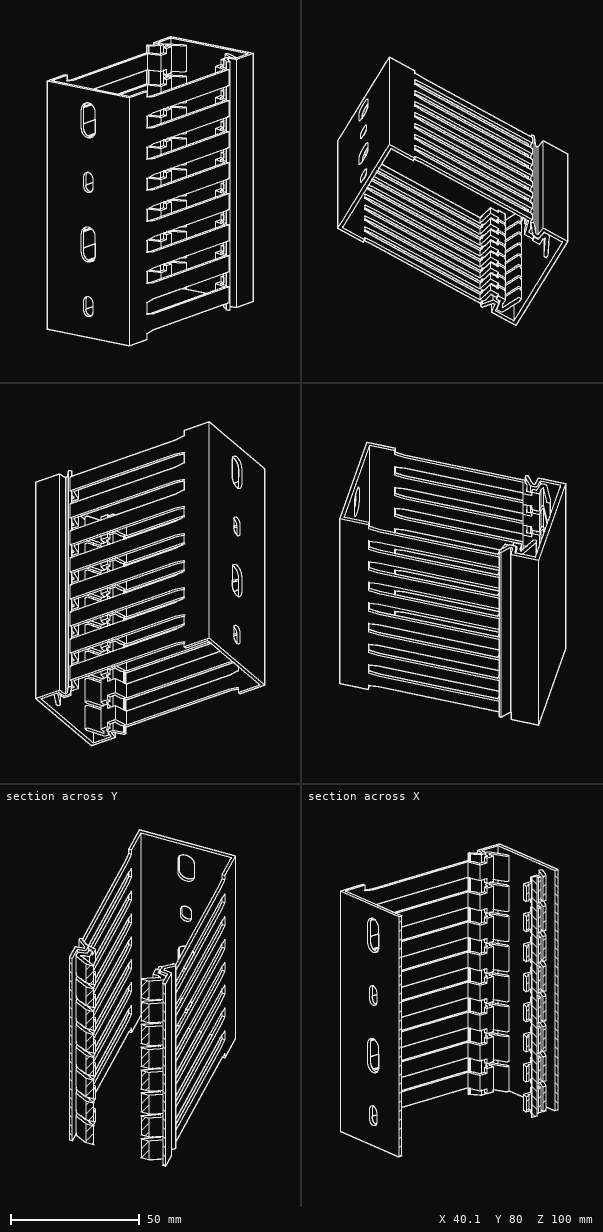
import cadquery as cq

length = 100.0
height = 80.0

duct_half_width = 20.0
duct_wall = 1.2
base_thickness = 1.5

finger_count = 8
finger_pitch = length / finger_count
slot_width = 6.0
slot_tip_width = 2.0
slot_tip_y = 68.1
slot_root_width = 4.7
slot_root_y = 11.5
slot_taper_length = 4.0

hole_pitch = 25.0
long_hole_length = 14.0
long_hole_width = 6.8
short_hole_length = 8.0
short_hole_width = 4.5

hook_thickness = 1.55
hook_inner_x = 13.2
hook_outer_x = 18.4
hook_floor_y = 64.6
hook_floor_rise = 1.5
hook_pocket_y = 65.65
hook_shelf_y = 71.3
hook_shelf_x = 15.4
hook_ceiling_rise = 0.7
hook_notch_x = 16.6
hook_notch_y = 71.9
lip_tip_x = 9.75
lip_tip_y = 76.4
lip_tip_height = 1.2
lip_tip_flat = 1.25
lip_root_y = 72.7
lip_root_radius = 1.0
lip_tip_radius = 0.5

lid_half_width = 20.05
lid_wall = 1.3
lid_top_thickness = 1.7
groove_depth = 3.4
groove_top_y = 68.95
groove_upper_drop = 0.45
groove_flat = 0.85
groove_crest_radius = 0.9
groove_bottom_y = 64.9
lid_edge_y = 63.95
lid_edge_radius = 0.5


def unit_normal(start, end):
    """Unit normal on the right of the direction from start to end."""
    run = end[0] - start[0]
    rise = end[1] - start[1]
    span = (run**2 + rise**2) ** 0.5
    return rise / span, -run / span


def offset_path(path, distance):
    """Points of the open path moved to its right with mitred corners."""
    normals = [unit_normal(a, b) for a, b in zip(path, path[1:])]
    befores = normals[:1] + normals
    afters = normals + normals[-1:]
    points = []
    for point, before, after in zip(path, befores, afters):
        share = distance / (1 + before[0] * after[0] + before[1] * after[1])
        x = point[0] + share * (before[0] + after[0])
        y = point[1] + share * (before[1] + after[1])
        points.append((x, y))
    return points


def round_corner(body, x, y, radius):
    """Fillet the edge of the body that runs along Z through (x, y)."""
    corner = cq.selectors.NearestToPointSelector((x, y, length / 2))
    return body.edges("|Z").edges(corner).fillet(radius)


def with_mirror(half):
    """Join a half body to its mirror image across x = 0."""
    return half.union(half.mirror("YZ")).clean()


def make_lid():
    groove_x = lid_half_width - groove_depth
    groove_upper_y = groove_top_y - groove_upper_drop
    outer = [
        (lid_half_width, height),
        (lid_half_width, groove_top_y),
        (groove_x, groove_upper_y),
        (groove_x, groove_upper_y - groove_flat),
        (lid_half_width, groove_bottom_y),
        (lid_half_width, lid_edge_y),
    ]
    inner = offset_path(outer, lid_wall)
    side = cq.Workplane("XY").polyline(outer + inner[::-1]).close().extrude(length)
    crest_x, crest_y = inner[2]
    side = round_corner(side, crest_x, crest_y, groove_crest_radius)
    side = round_corner(side, lid_half_width, lid_edge_y, lid_edge_radius)
    top = cq.Workplane("XY").box(lid_half_width, lid_top_thickness, length, centered=False)
    top = top.translate((0, height - lid_top_thickness, 0))
    return with_mirror(side.union(top))


def make_duct_side():
    """Half of the base, one side wall and its snap hook, before slotting."""
    wall_inner_x = duct_half_width - duct_wall
    hook_outer_column_x = hook_inner_x + hook_thickness
    hook_ceiling_y = hook_shelf_y - hook_thickness
    outline = [
        (0, 0),
        (duct_half_width, 0),
        (duct_half_width, hook_floor_y),
        (hook_outer_column_x, hook_pocket_y),
        (hook_outer_column_x, hook_ceiling_y),
        (hook_outer_x, hook_ceiling_y + hook_ceiling_rise),
        (hook_outer_x, lip_root_y),
        (lip_tip_x + lip_tip_flat, lip_tip_y),
        (lip_tip_x, lip_tip_y),
        (lip_tip_x, lip_tip_y - lip_tip_height),
        (hook_notch_x, hook_notch_y),
        (hook_shelf_x, hook_shelf_y),
        (hook_inner_x, hook_shelf_y),
        (hook_inner_x, hook_floor_y),
        (wall_inner_x, hook_floor_y - hook_floor_rise),
        (wall_inner_x, base_thickness),
        (0, base_thickness),
    ]
    side = cq.Workplane("XY").polyline(outline).close().extrude(length)
    side = round_corner(side, hook_outer_x, lip_root_y, lip_root_radius)
    return round_corner(side, lip_tip_x, lip_tip_y - lip_tip_height, lip_tip_radius)


def make_comb_slot(z):
    """Cutter for one slot through both side walls, narrow at its root and between the hooks."""
    taper_end_y = slot_root_y + slot_taper_length
    half_root = slot_root_width / 2
    half_slot = slot_width / 2
    half_tip = slot_tip_width / 2
    outline = [
        (slot_root_y, z - half_root),
        (taper_end_y, z - half_slot),
        (slot_tip_y, z - half_slot),
        (slot_tip_y, z - half_tip),
        (height, z - half_tip),
        (height, z + half_tip),
        (slot_tip_y, z + half_tip),
        (slot_tip_y, z + half_slot),
        (taper_end_y, z + half_slot),
        (slot_root_y, z + half_root),
    ]
    return cq.Workplane("YZ").polyline(outline).close().extrude(duct_half_width, both=True)


def make_mounting_hole(z, hole_length, hole_width):
    """Cutter for one obround hole through the base, long along Z."""
    hole = cq.Workplane("XZ").center(0, z).slot2D(hole_length, hole_width, 90)
    return hole.extrude(-base_thickness)


def make_duct(lid):
    duct = with_mirror(make_duct_side())
    for index in range(finger_count + 1):
        duct = duct.cut(make_comb_slot(index * finger_pitch))
    for index in range(int(length / hole_pitch)):
        z = (index + 0.5) * hole_pitch
        if index % 2 == 0:
            duct = duct.cut(make_mounting_hole(z, short_hole_length, short_hole_width))
        else:
            duct = duct.cut(make_mounting_hole(z, long_hole_length, long_hole_width))
    return duct.cut(lid)


lid = make_lid()
duct = make_duct(lid)
result = cq.Compound.makeCompound([duct.val(), lid.val()])